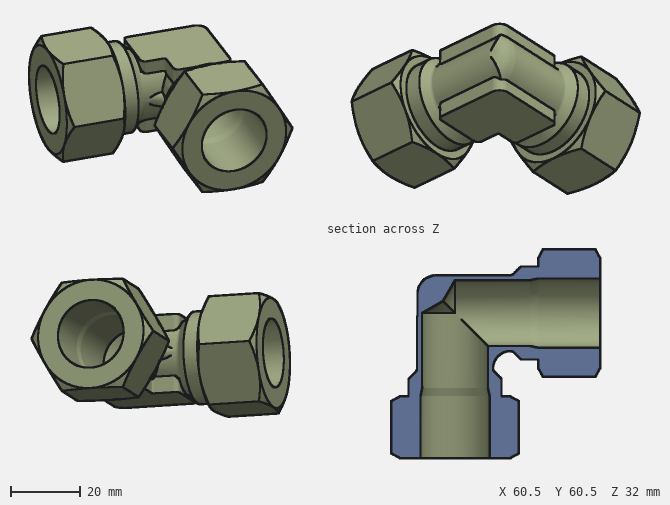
import cadquery as cq
import math

overall_length = 60.5
hex_across_flats = 32.0
hex_across_corners = hex_across_flats / math.cos(math.radians(30))
arm_length = overall_length - hex_across_corners / 2

nut_length = 18.0
nut_chamfer_angle = 30.0

body_radius = 11.0
body_end = 16.0
neck_blend_radius = 1.2
collar_radius = 13.5
collar_cone_angle = 45.0

outer_bend_radius = 5.55
inner_bend_radius = 5.0
web_radius = 2.2

pad_half_height = 11.55
pad_half_width_x = 8.05
pad_half_width_y = 8.75
pad_end_radius = 1.6
pad_outer_radius = 3.15
pad_inner_radius = 0.55

socket_radius = 10.0
socket_depth = nut_length
socket_cone_angle = 24.0
bore_radius = 9.5
drill_point_angle = 120.0


def along_minus_y(solid):
    """Turn a solid built along +X onto the -Y arm."""
    return solid.rotate((0, 0, 0), (0, 0, 1), -90)


def make_nut():
    """Hexagonal nut on the +X arm, chamfered at both ends."""
    nut_start = arm_length - nut_length
    corner_radius = hex_across_corners / 2
    flat_radius = hex_across_flats / 2
    chamfer_length = (corner_radius - flat_radius) * math.tan(math.radians(nut_chamfer_angle))
    prism = (
        cq.Workplane("YZ", origin=(nut_start, 0, 0))
        .polygon(6, hex_across_corners)
        .extrude(nut_length)
    )
    chamfer_envelope = (
        cq.Workplane("XY")
        .moveTo(nut_start, 0)
        .lineTo(nut_start, flat_radius)
        .lineTo(nut_start + chamfer_length, corner_radius)
        .lineTo(arm_length - chamfer_length, corner_radius)
        .lineTo(arm_length, flat_radius)
        .lineTo(arm_length, 0)
        .close()
        .revolve(360, (0, 0, 0), (1, 0, 0))
    )
    return prism.intersect(chamfer_envelope)


def make_neck():
    """Straight body, blended into the cone and collar that meet the nut."""
    cone_angle = math.radians(collar_cone_angle)
    half_angle = cone_angle / 2
    blend_center_radius = body_radius + neck_blend_radius
    blend_mid = (
        body_end + neck_blend_radius * math.sin(half_angle),
        blend_center_radius - neck_blend_radius * math.cos(half_angle),
    )
    cone_start = (
        body_end + neck_blend_radius * math.sin(cone_angle),
        blend_center_radius - neck_blend_radius * math.cos(cone_angle),
    )
    collar_start = cone_start[0] + (collar_radius - cone_start[1]) / math.tan(cone_angle)
    collar_end = arm_length - nut_length / 2
    return (
        cq.Workplane("XY")
        .lineTo(0, body_radius)
        .lineTo(body_end, body_radius)
        .threePointArc(blend_mid, cone_start)
        .lineTo(collar_start, collar_radius)
        .lineTo(collar_end, collar_radius)
        .lineTo(collar_end, 0)
        .close()
        .revolve(360, (0, 0, 0), (1, 0, 0))
    )


def make_outer_corner():
    """Round back of the elbow: the -Y arm's circle shifted along an arc, trimmed by the +X arm."""
    bend_center = body_radius - outer_bend_radius
    diagonal = outer_bend_radius * math.sqrt(0.5)
    path = (
        cq.Workplane("XY")
        .moveTo(0, bend_center)
        .threePointArc(
            (outer_bend_radius - diagonal, bend_center + diagonal),
            (outer_bend_radius, body_radius),
        )
    )
    shifted_arm = (
        cq.Workplane("XZ", origin=(0, bend_center, 0))
        .circle(body_radius)
        .sweep(path, normal=cq.Vector(0, 1, 0))
    )
    straight_arm = cq.Workplane("XZ", origin=(0, bend_center, 0)).circle(body_radius).extrude(bend_center)
    crossing_arm = (
        cq.Workplane("YZ", origin=(-body_radius, 0, 0)).circle(body_radius).extrude(2 * body_radius)
    )
    return shifted_arm.intersect(crossing_arm).union(straight_arm)


def make_inner_web():
    """Quarter ring filling the inside corner between the arms."""
    ring_radius = inner_bend_radius + web_radius
    return (
        cq.Workplane("XZ", origin=(0, -body_end, 0))
        .center(body_end - ring_radius, 0)
        .circle(web_radius)
        .revolve(90, (ring_radius, 0, 0), (ring_radius, -1, 0))
    )


def make_pads():
    """L-shaped block whose top and bottom faces form the wrench pads."""
    block = (
        cq.Workplane("XY", origin=(0, 0, -pad_half_height))
        .moveTo(-pad_half_width_x, pad_half_width_y)
        .lineTo(body_end, pad_half_width_y)
        .lineTo(body_end, -pad_half_width_y)
        .lineTo(pad_half_width_x, -pad_half_width_y)
        .lineTo(pad_half_width_x, -body_end)
        .lineTo(-pad_half_width_x, -body_end)
        .close()
        .extrude(2 * pad_half_height)
    )
    pads = block.edges("|Z and (>X or <Y)").fillet(pad_end_radius)
    outer_corner = cq.selectors.NearestToPointSelector((-pad_half_width_x, pad_half_width_y, 0))
    inner_corner = cq.selectors.NearestToPointSelector((pad_half_width_x, -pad_half_width_y, 0))
    pads = pads.edges("|Z").edges(outer_corner).fillet(pad_outer_radius)
    return pads.edges("|Z").edges(inner_corner).fillet(pad_inner_radius)


def make_bore():
    """Tube socket, seating cone and narrower bore, ending in a drill point past the elbow centre."""
    point_length = bore_radius / math.tan(math.radians(drill_point_angle / 2))
    cone_length = (socket_radius - bore_radius) / math.tan(math.radians(socket_cone_angle / 2))
    socket_end = arm_length - socket_depth
    return (
        cq.Workplane("XY")
        .moveTo(-point_length, 0)
        .lineTo(0, bore_radius)
        .lineTo(socket_end - cone_length, bore_radius)
        .lineTo(socket_end, socket_radius)
        .lineTo(arm_length, socket_radius)
        .lineTo(arm_length, 0)
        .close()
        .revolve(360, (0, 0, 0), (1, 0, 0))
    )


arm = make_neck().union(make_nut())
bore = make_bore()

result = (
    arm.union(along_minus_y(arm))
    .union(make_outer_corner())
    .union(make_inner_web())
    .union(make_pads())
    .cut(bore)
    .cut(along_minus_y(bore))
)